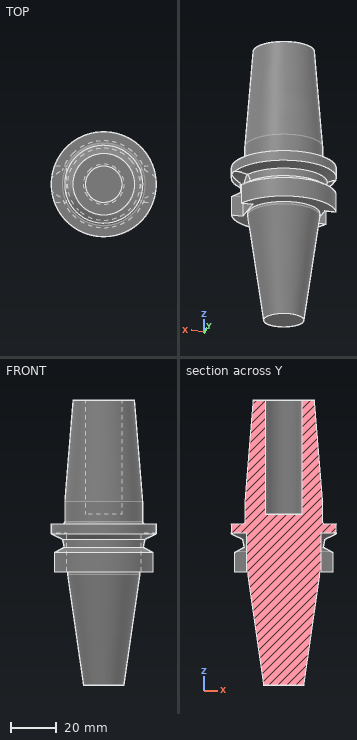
import cadquery as cq
import math

taper_length = 48.3
flange_bottom = 1.1
flange_top = 22.2
groove_middle = 13.7
boss_top = 31.9
total_length = 124.6
nose_top = total_length - taper_length

gauge_radius = 15.8
taper_end_radius = 8.8
flange_radius = 22.99
groove_radius = 19.1
boss_radius = 17.1
nose_radius = 13.5
bore_radius = 8.0

groove_floor_width = 3.5
groove_side_slope = math.radians(30)

boss_fillet = 1.0
bore_depth = 49.8
slot_width = 16.1
slot_arc_center = 10.1
slot_floor_distance = 16.3


def make_body():
    """Revolve the taper, grooved flange, straight boss and conical nose."""
    half_floor = groove_floor_width / 2
    half_mouth = half_floor + (flange_radius - groove_radius) * math.tan(groove_side_slope)
    fillet_mid = boss_fillet * (1 - math.sqrt(0.5))
    return (
        cq.Workplane("XZ")
        .moveTo(0, -taper_length)
        .lineTo(taper_end_radius, -taper_length)
        .lineTo(gauge_radius, 0)
        .lineTo(gauge_radius, flange_bottom)
        .lineTo(flange_radius, flange_bottom)
        .lineTo(flange_radius, groove_middle - half_mouth)
        .lineTo(groove_radius, groove_middle - half_floor)
        .lineTo(groove_radius, groove_middle + half_floor)
        .lineTo(flange_radius, groove_middle + half_mouth)
        .lineTo(flange_radius, flange_top)
        .lineTo(boss_radius + boss_fillet, flange_top)
        .threePointArc(
            (boss_radius + fillet_mid, flange_top + fillet_mid),
            (boss_radius, flange_top + boss_fillet),
        )
        .lineTo(boss_radius, boss_top)
        .lineTo(nose_radius, nose_top)
        .lineTo(0, nose_top)
        .close()
        .revolve(360, (0, 0, 0), (0, 1, 0))
    )


def make_bore():
    """Blind tool bore opening at the nose."""
    return cq.Workplane("XY", origin=(0, 0, nose_top - bore_depth)).circle(bore_radius).extrude(bore_depth)


def make_drive_slot(side):
    """Round-topped drive slot, open at the flange bottom; side is +1 or -1 along X."""
    half_width = slot_width / 2
    return (
        cq.Workplane("YZ", origin=(side * slot_floor_distance, 0, 0))
        .moveTo(-half_width, flange_bottom)
        .lineTo(half_width, flange_bottom)
        .lineTo(half_width, slot_arc_center)
        .threePointArc((0, slot_arc_center + half_width), (-half_width, slot_arc_center))
        .close()
        .extrude(side * flange_radius)
    )


result = make_body().cut(make_bore())
for slot_side in (-1, 1):
    result = result.cut(make_drive_slot(slot_side))